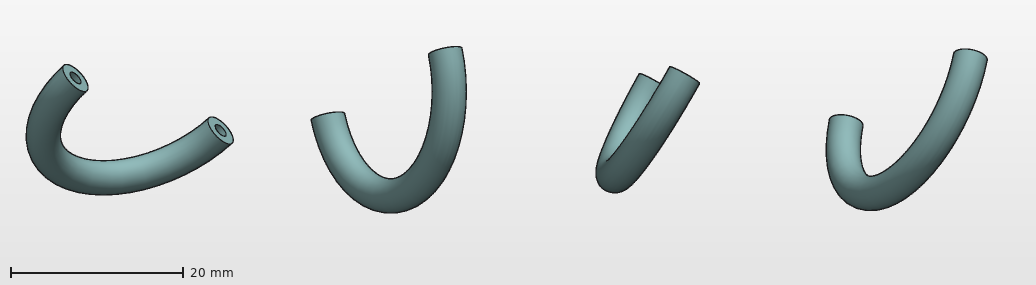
import cadquery as cq

bend_radius = 13.0
outer_diameter = 4.0
bore_diameter = 1.72

end_direction = cq.Vector(17.2, -38.5, 23.8).normalized()
middle_guide = cq.Vector(-16.4, -27.0, -34.4)

bend_normal = end_direction.cross(middle_guide).normalized()
middle_direction = bend_normal.cross(end_direction)


def half_circle_sweep(diameter):
    """Round bar swept along the half circle, from one hose end to the other."""
    start = end_direction * bend_radius
    middle = middle_direction * bend_radius
    path = cq.Workplane(cq.Edge.makeThreePointArc(start, middle, -start))
    end_plane = cq.Plane(origin=start, xDir=end_direction, normal=middle_direction)
    return cq.Workplane(end_plane).circle(diameter / 2).sweep(path)


result = half_circle_sweep(outer_diameter).cut(half_circle_sweep(bore_diameter))